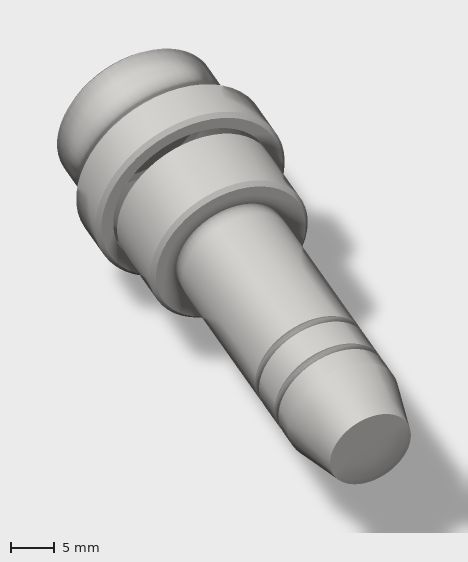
import cadquery as cq
import math

TOTAL_LENGTH = 61.0
EDGE_CHAMFER = 0.5

HEAD_RADIUS = 10.0
HEAD_LENGTH = 25.0
COLLAR_RADIUS = 12.0
COLLAR_START = 9.0
COLLAR_LENGTH = 6.0
COLLAR_END = COLLAR_START + COLLAR_LENGTH

SHANK_RADIUS = 7.0
NOSE_LENGTH = 7.0
NOSE_HALF_ANGLE = 15.0
NOSE_TIP_RADIUS = SHANK_RADIUS - NOSE_LENGTH * math.tan(math.radians(NOSE_HALF_ANGLE))
NOSE_START = TOTAL_LENGTH - NOSE_LENGTH

GROOVE_RADIUS = 0.5
HEAD_GROOVE_CENTRES = (COLLAR_START - GROOVE_RADIUS, COLLAR_END + GROOVE_RADIUS)
SHANK_GROOVE_PITCH = 5.0
LAST_GROOVE_TO_NOSE = 3.0
LAST_GROOVE_CENTRE = NOSE_START - LAST_GROOVE_TO_NOSE
SHANK_GROOVE_CENTRES = (LAST_GROOVE_CENTRE - SHANK_GROOVE_PITCH, LAST_GROOVE_CENTRE)


def cylinder_along_x(start, length, radius):
    """Cylinder on the part axis, reaching from start in the +X direction."""
    return cq.Workplane("YZ", origin=(start, 0, 0)).circle(radius).extrude(length)


def make_head():
    """Head and collar, with every outer rim chamfered."""
    body = cylinder_along_x(0, HEAD_LENGTH, HEAD_RADIUS).edges("%CIRCLE").chamfer(EDGE_CHAMFER)
    collar = cylinder_along_x(COLLAR_START, COLLAR_LENGTH, COLLAR_RADIUS)
    return body.union(collar.edges("%CIRCLE").chamfer(EDGE_CHAMFER))


def make_shank():
    """Straight shank followed by the conical nose."""
    return (
        cq.Workplane("XY")
        .moveTo(HEAD_LENGTH, 0)
        .lineTo(HEAD_LENGTH, SHANK_RADIUS)
        .lineTo(NOSE_START, SHANK_RADIUS)
        .lineTo(TOTAL_LENGTH, NOSE_TIP_RADIUS)
        .lineTo(TOTAL_LENGTH, 0)
        .close()
        .revolve(360, (0, 0, 0), (1, 0, 0))
    )


def make_groove(centre, surface_radius):
    """Ring of round section that cuts a half-round groove."""
    return (
        cq.Workplane("XY")
        .center(centre, surface_radius)
        .circle(GROOVE_RADIUS)
        .revolve(360, (0, -surface_radius, 0), (1, -surface_radius, 0))
    )


result = make_head().union(make_shank())
for groove_centre in HEAD_GROOVE_CENTRES:
    result = result.cut(make_groove(groove_centre, HEAD_RADIUS))
for groove_centre in SHANK_GROOVE_CENTRES:
    result = result.cut(make_groove(groove_centre, SHANK_RADIUS))